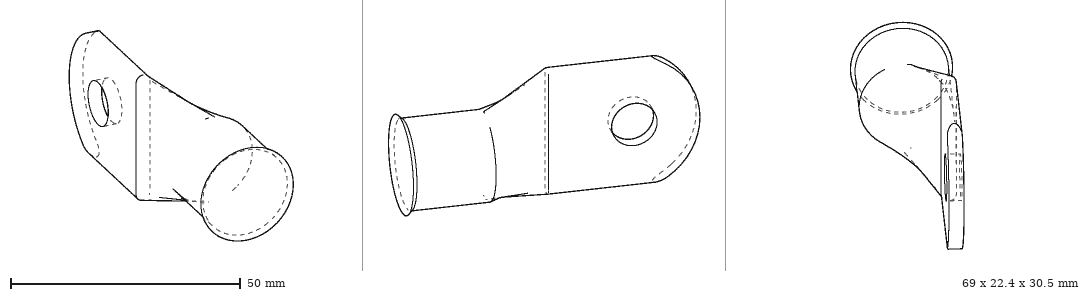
import cadquery as cq
import math

length = 69.0
palm_width = 30.5
palm_thickness = 3.3
palm_length = 34.1
palm_end_radius = 16.35
hole_diameter = 10.2
hole_x = 14.8
tube_radius = 10.2
tube_start = 50.2
flare_radius = 11.2
flare_length = 1.05
side_strip_width = 2.2

edge_radius = palm_thickness / 2
palm_y = -tube_radius + edge_radius
flat_half_width = palm_width / 2 - edge_radius


def four_sided_wire(x, y, corner_y, corner_z, broad_y, side_z):
    """Section with two broad sides facing +Y and -Y, and two narrow sides facing +Z and -Z."""
    def point(y_offset, z):
        return cq.Vector(x, y + y_offset, z)

    corners = [
        point(corner_y, -corner_z),
        point(corner_y, corner_z),
        point(-corner_y, corner_z),
        point(-corner_y, -corner_z),
    ]
    middles = [point(broad_y, 0), point(0, side_z), point(-broad_y, 0), point(0, -side_z)]
    edges = []
    for i, middle in enumerate(middles):
        start = corners[i]
        end = corners[(i + 1) % len(corners)]
        if (middle - (start + end) * 0.5).Length < 6.9e-07:
            edges.append(cq.Edge.makeLine(start, end))
        else:
            edges.append(cq.Edge.makeThreePointArc(start, middle, end))
    return cq.Wire.assembleEdges(edges)


def palm_section(x):
    return four_sided_wire(x, palm_y, edge_radius, flat_half_width, edge_radius, palm_width / 2)


def tube_section(x):
    corner_y = side_strip_width / 2
    corner_z = math.sqrt(tube_radius**2 - corner_y**2)
    return four_sided_wire(x, 0, corner_y, corner_z, tube_radius, tube_radius)


palm = cq.Workplane(cq.Solid.extrudeLinear(palm_section(0), [], cq.Vector(palm_length, 0, 0)))
side_x = palm_end_radius - math.sqrt(palm_end_radius**2 - (palm_width / 2) ** 2)
end_outline = (
    cq.Workplane("XZ")
    .moveTo(side_x, -palm_width / 2)
    .threePointArc((0, 0), (side_x, palm_width / 2))
    .lineTo(palm_length, palm_width / 2)
    .lineTo(palm_length, -palm_width / 2)
    .close()
    .extrude(tube_radius)
)
palm = palm.intersect(end_outline)

neck = cq.Workplane(cq.Solid.makeLoft([palm_section(palm_length), tube_section(tube_start)], True))

tube = (
    cq.Workplane("XY")
    .moveTo(tube_start, 0)
    .lineTo(tube_start, tube_radius)
    .lineTo(length - flare_length, tube_radius)
    .lineTo(length, flare_radius)
    .lineTo(length, 0)
    .close()
    .revolve(360, (0, 0, 0), (1, 0, 0))
)

bolt_hole = cq.Workplane("XZ").center(hole_x, 0).circle(hole_diameter / 2).extrude(tube_radius)

result = palm.union(neck).union(tube).cut(bolt_hole)